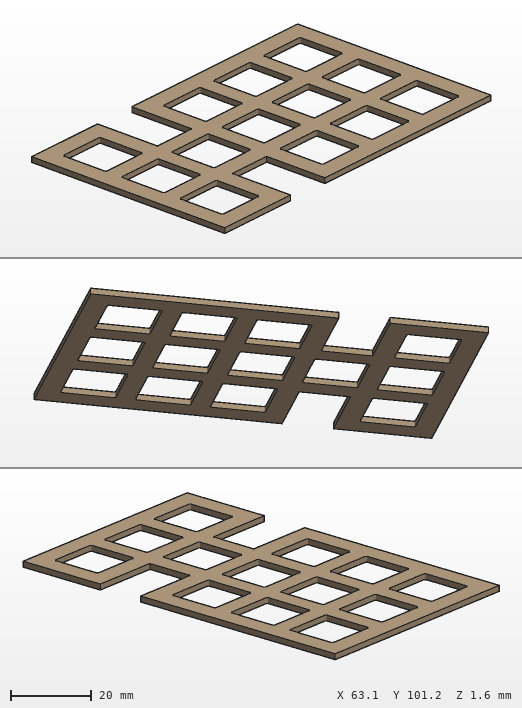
import cadquery as cq

KEY_PITCH = 19.05
CUTOUT_SIZE = 14.0
CUTOUT_CORNER_RADIUS = 0.5
COLUMNS = 3
UPPER_ROWS = 3
LOWER_ROWS = 1
ROWS = UPPER_ROWS + LOWER_ROWS + 1

THICKNESS = 1.6
EDGE_BORDER = 5.525
NECK_LEFT = 11.975
NECK_RIGHT = 12.525


def block_length(cell_count):
    """Outside length of a run of cutouts with a border at both ends."""
    return (cell_count - 1) * KEY_PITCH + CUTOUT_SIZE + 2 * EDGE_BORDER


PLATE_WIDTH = block_length(COLUMNS)
PLATE_LENGTH = block_length(ROWS)
UPPER_LENGTH = block_length(UPPER_ROWS)
LOWER_LENGTH = block_length(LOWER_ROWS)


def plate_block(width, length, center_y, center_x=0):
    """Flat rectangle resting on Z = 0."""
    return (
        cq.Workplane("XY")
        .center(center_x, center_y)
        .rect(width, length)
        .extrude(THICKNESS)
    )


def plate_blank():
    """Wide upper and lower blocks joined by a narrow neck."""
    upper = plate_block(PLATE_WIDTH, UPPER_LENGTH, (PLATE_LENGTH - UPPER_LENGTH) / 2)
    lower = plate_block(PLATE_WIDTH, LOWER_LENGTH, (LOWER_LENGTH - PLATE_LENGTH) / 2)
    neck_center_x = (NECK_RIGHT - NECK_LEFT) / 2
    neck = plate_block(NECK_LEFT + NECK_RIGHT, PLATE_LENGTH, 0, neck_center_x)
    return neck.union(upper).union(lower)


def cutout_centers():
    """Full grid of cutouts, with only the middle column in the neck row."""
    middle_column = COLUMNS // 2
    neck_row = LOWER_ROWS
    centers = []
    for row in range(ROWS):
        for column in range(COLUMNS):
            if row == neck_row and column != middle_column:
                continue
            x = (column - (COLUMNS - 1) / 2) * KEY_PITCH
            y = (row - (ROWS - 1) / 2) * KEY_PITCH
            centers.append((x, y))
    return centers


def switch_cutouts():
    """Square through-cutouts with slightly rounded corners."""
    return (
        cq.Workplane("XY")
        .pushPoints(cutout_centers())
        .rect(CUTOUT_SIZE, CUTOUT_SIZE)
        .extrude(THICKNESS)
        .edges("|Z")
        .fillet(CUTOUT_CORNER_RADIUS)
    )


result = plate_blank().cut(switch_cutouts())